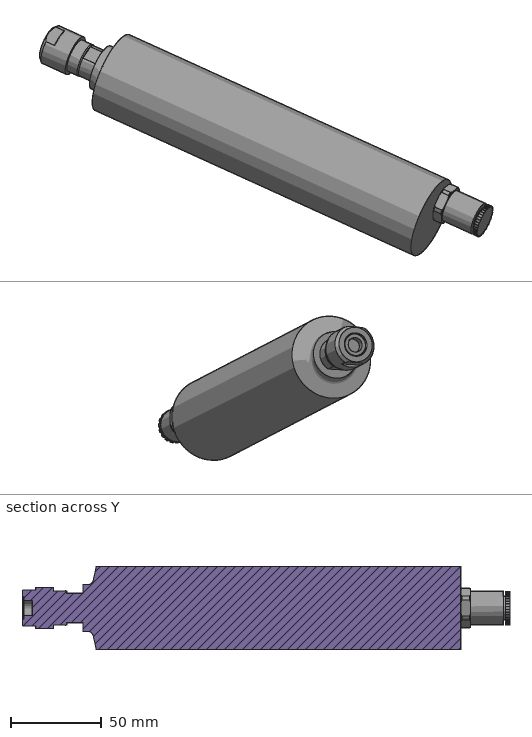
import cadquery as cq
import math

total_length = 269.3
nose_flat_end = 7.3
collar_end = 17.2
sleeve_end = 23.7
shaft_start = 24.5
flange_start = 33.5
flange_fillet_start = 36.0
cone_end = 40.7
body_end = 242.0
hex_end = 247.5
barrel_end = 265.5
ring_start = 266.8

body_diameter = 46.0
flange_diameter = 26.0
flange_fillet_radius = 3.0
shaft_diameter = 18.5
sleeve_diameter = 19.0
collar_diameter = 23.0
nose_face_diameter = 19.5
nose_chamfer_length = 2.0
nose_across_flats = 20.0
shaft_across_flats = 16.5
cut_clearance = 2.7

bore_mouth_diameter = 13.2
bore_diameter = 12.0
bore_depth = 0.8
pilot_diameter = 8.0
pilot_depth = 5.5

fitting_offset = 12.0
hex_across_flats = 20.2
hex_round_diameter = 22.0
hex_chamfer = 0.5
barrel_diameter = 18.5
neck_diameter = 13.2
groove_count = 18
groove_width = 1.5
groove_depth = 0.5


def cylinder_x(start, end, diameter, y=0.0):
    """Cylinder along X between two stations, centred at the given Y."""
    plane = cq.Workplane("YZ", origin=(start, y, 0))
    return plane.circle(diameter / 2).extrude(end - start)


def cut_opposed_flats(part, start, end, diameter, across_flats):
    """Cut two parallel flats, facing +Z and -Z, on a round stretch."""
    height = (diameter - across_flats) / 2 + cut_clearance
    for side in (1, -1):
        center_z = side * (across_flats + height) / 2
        cutter = cq.Workplane("XY").box(end - start, 2 * diameter, height)
        part = part.cut(cutter.translate(((start + end) / 2, 0, center_z)))
    return part


def make_body():
    """Turned inlet, flange, cone and main cylinder."""
    flange_radius = flange_diameter / 2
    body_radius = body_diameter / 2
    center_to_rim_x = cone_end - flange_fillet_start
    center_to_rim_r = body_radius - (flange_radius + flange_fillet_radius)
    rim_distance = math.hypot(center_to_rim_x, center_to_rim_r)
    rim_angle = math.atan2(center_to_rim_r, center_to_rim_x)
    cone_angle = rim_angle + math.asin(flange_fillet_radius / rim_distance)

    def fillet_point(angle):
        x = flange_fillet_start + flange_fillet_radius * math.sin(angle)
        radius = flange_radius + flange_fillet_radius * (1 - math.cos(angle))
        return x, radius

    profile = (
        cq.Workplane("XY")
        .moveTo(0, 0)
        .lineTo(0, nose_face_diameter / 2)
        .lineTo(nose_chamfer_length, collar_diameter / 2)
        .lineTo(collar_end, collar_diameter / 2)
        .lineTo(collar_end, sleeve_diameter / 2)
        .lineTo(sleeve_end, sleeve_diameter / 2)
        .lineTo(shaft_start, shaft_diameter / 2)
        .lineTo(flange_start, shaft_diameter / 2)
        .lineTo(flange_start, flange_radius)
        .lineTo(flange_fillet_start, flange_radius)
        .threePointArc(fillet_point(cone_angle / 2), fillet_point(cone_angle))
        .lineTo(cone_end, body_radius)
        .lineTo(body_end, body_radius)
        .lineTo(body_end, 0)
        .close()
    )
    body = profile.revolve(360, (0, 0, 0), (1, 0, 0))
    body = cut_opposed_flats(body, 0, nose_flat_end, collar_diameter, nose_across_flats)
    return cut_opposed_flats(body, shaft_start, flange_start, shaft_diameter, shaft_across_flats)


def make_inlet_bore():
    """Stepped blind bore with a chamfered mouth."""
    mouth_chamfer = (bore_mouth_diameter - bore_diameter) / 2
    profile = (
        cq.Workplane("XY")
        .moveTo(0, 0)
        .lineTo(0, bore_mouth_diameter / 2)
        .lineTo(mouth_chamfer, bore_diameter / 2)
        .lineTo(bore_depth, bore_diameter / 2)
        .lineTo(bore_depth, pilot_diameter / 2)
        .lineTo(pilot_depth, pilot_diameter / 2)
        .lineTo(pilot_depth, 0)
        .close()
    )
    return profile.revolve(360, (0, 0, 0), (1, 0, 0))


def make_hex():
    """Hexagon with corners up and down, rounded and chamfered at both ends."""
    quarter_turn = 90
    corner_diameter = hex_across_flats / math.cos(math.pi / 6)
    hexagon = (
        cq.Workplane("YZ", origin=(body_end, fitting_offset, 0))
        .transformed(rotate=(0, 0, quarter_turn))
        .polygon(6, corner_diameter)
        .extrude(hex_end - body_end)
    )
    rounding = cylinder_x(body_end, hex_end, hex_round_diameter, fitting_offset)
    rounding = rounding.faces("<X or >X").chamfer(hex_chamfer)
    return hexagon.intersect(rounding)


def make_grip_ring():
    """Release ring with evenly spaced grip grooves across its outer face."""
    ring = cylinder_x(ring_start, total_length, barrel_diameter, fitting_offset)
    groove = cq.Workplane("XY").box(total_length - ring_start, groove_width, 2 * groove_depth)
    groove = groove.translate(((ring_start + total_length) / 2, 0, barrel_diameter / 2))
    for index in range(groove_count):
        turned = groove.rotate((0, 0, 0), (1, 0, 0), index * 360 / groove_count)
        ring = ring.cut(turned.translate((0, fitting_offset, 0)))
    return ring


result = (
    make_body()
    .cut(make_inlet_bore())
    .union(make_hex())
    .union(cylinder_x(hex_end, barrel_end, barrel_diameter, fitting_offset))
    .union(cylinder_x(barrel_end, ring_start, neck_diameter, fitting_offset))
    .union(make_grip_ring())
)